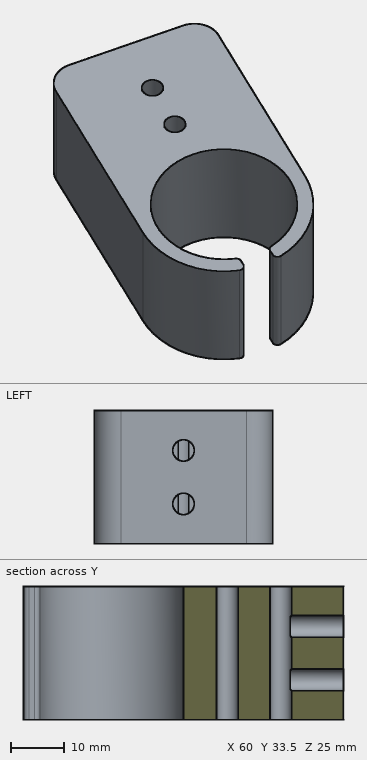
import cadquery as cq
import math

length = 60.0
width = 33.5
height = 25.0
corner_radius = 5.0

bore_diameter = 27.5
gap_width = 6.0
tip_radius = 1.0
outer_radius = width / 2
tip_center_y = gap_width / 2 + tip_radius
tip_reach = math.sqrt((outer_radius - tip_radius) ** 2 - tip_center_y ** 2) + tip_radius
ring_center_x = length - tip_reach

hole_diameter = 4.0
hole_pitch = 10.0
first_hole_x = 11.75
rear_hole_depth = 10.0


def make_body():
    """Block with rounded rear corners and a half-round front end."""
    block = (
        cq.Workplane("XY")
        .box(ring_center_x, width, height, centered=(False, True, False))
        .edges("|Z and <X")
        .fillet(corner_radius)
    )
    round_end = cq.Workplane("XY").center(ring_center_x, 0).circle(outer_radius).extrude(height)
    return block.union(round_end)


def cut_ring_opening(body):
    """Bore the ring, open it towards +X and round the four tip edges."""
    bore = cq.Workplane("XY").center(ring_center_x, 0).circle(bore_diameter / 2).extrude(height)
    gap = (
        cq.Workplane("XY")
        .center(ring_center_x, 0)
        .box(2 * outer_radius, gap_width, height, centered=(False, True, False))
    )
    tip_edges = cq.selectors.BoxSelector(
        (ring_center_x + bore_diameter / 4, -gap_width, 0),
        (ring_center_x + 2 * outer_radius, gap_width, height),
    )
    return body.cut(bore).cut(gap).edges("|Z").edges(tip_edges).fillet(tip_radius)


def make_vertical_holes():
    """Two through holes along the centre line."""
    positions = [(first_hole_x + i * hole_pitch, 0) for i in range(2)]
    return cq.Workplane("XY").pushPoints(positions).circle(hole_diameter / 2).extrude(height)


def make_rear_holes():
    """Two blind holes from the rear face that just break into the first vertical hole."""
    positions = [(0, height / 2 + side * hole_pitch / 2) for side in (-1, 1)]
    return cq.Workplane("YZ").pushPoints(positions).circle(hole_diameter / 2).extrude(rear_hole_depth)


result = cut_ring_opening(make_body()).cut(make_vertical_holes()).cut(make_rear_holes())